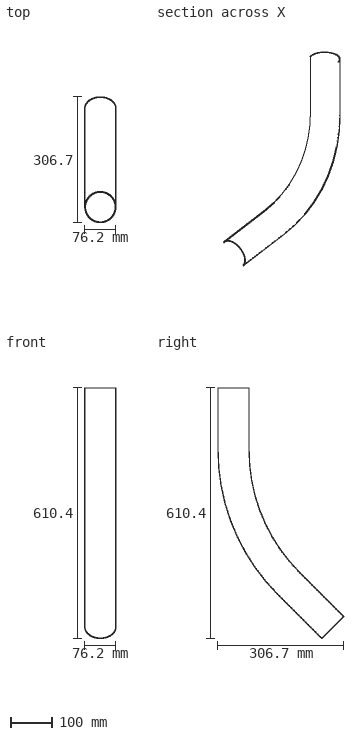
import cadquery as cq
import math

outer_diameter = 76.2
inner_diameter = 71.98
leg_length = 152.4
bend_radius = 457.2
bend_angle = 45.0


def bend_point(angle_degrees):
    """Centreline point (y, z) of the bend, angle counted from the end of the vertical leg."""
    angle = math.radians(angle_degrees)
    y = bend_radius * (1 - math.cos(angle))
    z = -leg_length - bend_radius * math.sin(angle)
    return y, z


def tube_centreline():
    """Path from the open top end at the origin, down the vertical leg and out along the slanted leg."""
    slope = math.radians(bend_angle)
    bend_end = bend_point(bend_angle)
    tube_end = (
        bend_end[0] + leg_length * math.sin(slope),
        bend_end[1] - leg_length * math.cos(slope),
    )
    return (
        cq.Workplane("YZ")
        .moveTo(0, 0)
        .lineTo(*bend_point(0))
        .threePointArc(bend_point(bend_angle / 2), bend_end)
        .lineTo(*tube_end)
    )


def bent_tube():
    """Ring section swept along the centreline, leaving both ends open."""
    ring = cq.Workplane("XY").circle(outer_diameter / 2).circle(inner_diameter / 2)
    return ring.sweep(tube_centreline())


result = bent_tube()